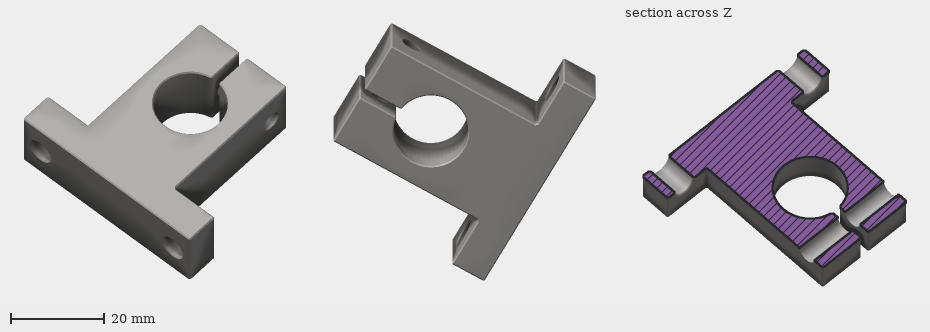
import cadquery as cq

base_length = 48.0
total_depth = 44.0
thickness = 15.0
base_depth = 8.0
column_width = 25.0

bore_diameter = 16.0
bore_y = 27.0
slit_width = 2.0

mount_diameter = 5.5
mount_spacing = 38.0
clamp_diameter = 4.5
clamp_y = 39.0

edge_break = 0.3
mid_z = thickness / 2


def block(width, depth):
    """Full-thickness block centred on X with its front face at Y = 0."""
    return cq.Workplane("XY").box(width, depth, thickness, centered=(True, False, False))


def make_mount_holes():
    """Two bolt holes through the base along Y."""
    centres = [(-mount_spacing / 2, mid_z), (mount_spacing / 2, mid_z)]
    holes = cq.Workplane("XZ").pushPoints(centres).circle(mount_diameter / 2)
    return holes.extrude(-base_depth)


def make_body():
    """Base bar and column with bore, slit and bolt holes, all edges broken."""
    bore = cq.Workplane("XY").center(0, bore_y).circle(bore_diameter / 2).extrude(thickness)
    slit = block(slit_width, total_depth - bore_y).translate((0, bore_y, 0))
    body = block(base_length, base_depth).union(block(column_width, total_depth))
    body = body.cut(bore).cut(slit).cut(make_mount_holes())
    return body.edges().chamfer(edge_break)


def make_clamp_hole():
    """Clamp screw hole across the column along X, through both jaws."""
    hole = cq.Workplane("YZ").center(clamp_y, mid_z).circle(clamp_diameter / 2)
    return hole.extrude(column_width / 2, both=True)


result = make_body().cut(make_clamp_hole())